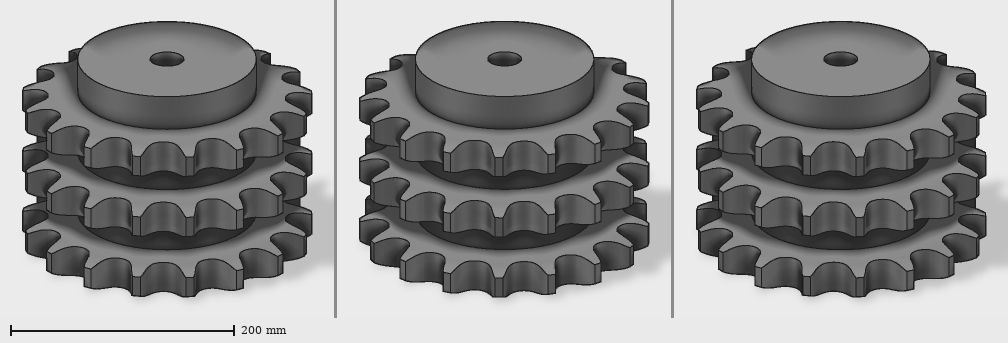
import cadquery as cq
import math


TOOTH_COUNT = 17
STRAND_COUNT = 3
PITCH_RADIUS = 121.0
ROLLER_DIAMETER = 28.0
TIP_RADIUS = 130.0
DISC_WIDTH = 28.8
STRAND_SPAN = 119.0
RELIEF_RADIUS = 109.2
RELIEF_DEPTH = 5.0
HUB_DIAMETER = 160.0
HUB_HEIGHT = 180.0
BORE_DIAMETER = 30.0

STRAND_SPACING = STRAND_SPAN / (STRAND_COUNT - 1)
TOOTH_STEP = 360 / TOOTH_COUNT

SEAT_RADIUS = 0.5025 * ROLLER_DIAMETER
FLANK_CENTER_OFFSET = 0.8 * ROLLER_DIAMETER
TOPPING_CENTER_OFFSET = 1.4 * ROLLER_DIAMETER
FLANK_RADIUS = FLANK_CENTER_OFFSET + SEAT_RADIUS
SEAT_END_ANGLE = 35 + 60 / TOOTH_COUNT
FLANK_SWEEP = 18 - 56 / TOOTH_COUNT
TOPPING_RADIUS = ROLLER_DIAMETER * (
    0.8 * math.cos(math.radians(FLANK_SWEEP))
    + 1.4 * math.cos(math.radians(17 - 64 / TOOTH_COUNT))
    - 1.3025
)
TOPPING_SWEEP = 28


def polar(center, radius, angle):
    """Point at a given radius and angle (degrees) from a center."""
    turn = math.radians(angle)
    return (center[0] + radius * math.cos(turn), center[1] + radius * math.sin(turn))


def mirrored(point):
    """Point on the other side of the gap centre line."""
    return (-point[0], point[1])


def tooth_gap(height):
    """Space between two teeth, centred on +Y: roller seat, concave flanks, rounded tips."""
    roller_center = (0, PITCH_RADIUS)
    flank_center = polar(roller_center, FLANK_CENTER_OFFSET, 180 - SEAT_END_ANGLE)
    topping_center = polar(roller_center, TOPPING_CENTER_OFFSET, -TOOTH_STEP / 2)
    flank_end_angle = FLANK_SWEEP - SEAT_END_ANGLE
    topping_start_angle = 180 + flank_end_angle
    topping_end_angle = topping_start_angle - TOPPING_SWEEP

    seat_bottom = polar(roller_center, SEAT_RADIUS, -90)
    seat_end = polar(roller_center, SEAT_RADIUS, -SEAT_END_ANGLE)
    flank_middle = polar(flank_center, FLANK_RADIUS, flank_end_angle - FLANK_SWEEP / 2)
    flank_end = polar(flank_center, FLANK_RADIUS, flank_end_angle)
    topping_start = polar(topping_center, TOPPING_RADIUS, topping_start_angle)
    topping_middle = polar(topping_center, TOPPING_RADIUS, topping_start_angle - TOPPING_SWEEP / 2)
    topping_end = polar(topping_center, TOPPING_RADIUS, topping_end_angle)

    return (
        cq.Workplane("XY")
        .moveTo(*mirrored(topping_end))
        .threePointArc(mirrored(topping_middle), mirrored(topping_start))
        .lineTo(*mirrored(flank_end))
        .threePointArc(mirrored(flank_middle), mirrored(seat_end))
        .threePointArc(seat_bottom, seat_end)
        .threePointArc(flank_middle, flank_end)
        .lineTo(*topping_start)
        .threePointArc(topping_middle, topping_end)
        .close()
        .extrude(height)
    )


def disc_blank():
    """Disc whose rim curves in on both sides, each curve tangent to its flat face."""
    relief_length = TIP_RADIUS - RELIEF_RADIUS
    curve_radius = (relief_length**2 + RELIEF_DEPTH**2) / (2 * RELIEF_DEPTH)
    half_turn = math.degrees(math.asin(relief_length / curve_radius)) / 2
    lower_middle = polar((RELIEF_RADIUS, curve_radius), curve_radius, half_turn - 90)
    upper_middle = (lower_middle[0], DISC_WIDTH - lower_middle[1])
    return (
        cq.Workplane("XZ")
        .moveTo(0, 0)
        .lineTo(RELIEF_RADIUS, 0)
        .threePointArc(lower_middle, (TIP_RADIUS, RELIEF_DEPTH))
        .lineTo(TIP_RADIUS, DISC_WIDTH - RELIEF_DEPTH)
        .threePointArc(upper_middle, (RELIEF_RADIUS, DISC_WIDTH))
        .lineTo(0, DISC_WIDTH)
        .close()
        .revolve(360, (0, 0, 0), (0, 1, 0))
    )


def toothed_disc():
    """One strand of the sprocket, resting on Z = 0 with its first gap on +Y."""
    disc = disc_blank()
    gap = tooth_gap(DISC_WIDTH)
    for index in range(TOOTH_COUNT):
        disc = disc.cut(gap.rotate((0, 0, 0), (0, 0, 1), index * TOOTH_STEP))
    return disc


sprocket = cq.Workplane("XY").circle(HUB_DIAMETER / 2).extrude(HUB_HEIGHT)
strand = toothed_disc()
for level in range(STRAND_COUNT):
    sprocket = sprocket.union(strand.translate((0, 0, level * STRAND_SPACING)))

bore = cq.Workplane("XY").circle(BORE_DIAMETER / 2).extrude(HUB_HEIGHT)
result = sprocket.cut(bore)